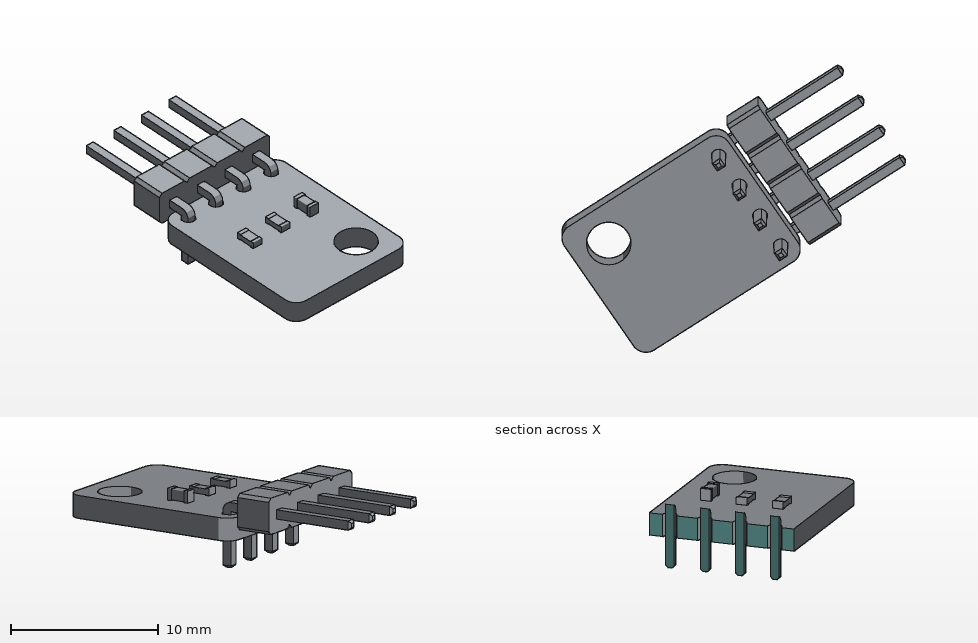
import cadquery as cq

board_length = 13.35
board_width = 10.5
board_thickness = 1.6
board_corner_radius = 1.0
mounting_hole_diameter = 3.0
mounting_hole_x = 10.73
mounting_hole_y = 2.75
pin_hole_diameter = 1.0
pin_row_x = 1.11

pin_count = 4
pin_pitch = 2.54
pin_size = 0.65
pin_tip_taper = 0.18
header_size = pin_pitch
header_chamfer = 0.25
header_right_x = -0.4
header_center_z = 2.12
pin_tip_x = -8.93
pin_bottom_z = -2.15
pin_row_y = -0.04
pin_ys = [pin_row_y + (i - (pin_count - 1) / 2) * pin_pitch for i in range(pin_count)]

chip_length = 1.6
chip_width = 0.78
cap_length = 0.3
cap_step = 0.05
chip_edge_radius = 0.033
chip_column_x = 5.83
middle_chip_x = 5.81
chip_pitch = 2.6
chip_column_y = 0.05
capacitor_height = 0.85
resistor_height = 0.5


def make_board():
    """Rounded plate with a mounting hole and a row of pin holes."""
    plate = (
        cq.Workplane("XY")
        .box(board_length, board_width, board_thickness, centered=(False, True, False))
        .edges("|Z")
        .fillet(board_corner_radius)
    )
    mounting_hole = (
        cq.Workplane("XY")
        .center(mounting_hole_x, mounting_hole_y)
        .circle(mounting_hole_diameter / 2)
        .extrude(board_thickness)
    )
    pin_holes = (
        cq.Workplane("XY")
        .pushPoints([(pin_row_x, y) for y in pin_ys])
        .circle(pin_hole_diameter / 2)
        .extrude(board_thickness)
    )
    return plate.cut(mounting_hole).cut(pin_holes)


def make_pin(y):
    """Square pin: a horizontal leg, a rounded elbow and a vertical leg, tapered at both tips."""
    elbow_x = pin_row_x - pin_size / 2
    outer_x = pin_row_x + pin_size / 2
    elbow_z = header_center_z - pin_size / 2
    top_z = header_center_z + pin_size / 2
    pin = (
        cq.Workplane("XZ", origin=(0, y, 0))
        .moveTo(pin_tip_x, elbow_z)
        .lineTo(elbow_x, elbow_z)
        .lineTo(elbow_x, pin_bottom_z)
        .lineTo(outer_x, pin_bottom_z)
        .lineTo(outer_x, elbow_z)
        .radiusArc((elbow_x, top_z), -pin_size)
        .lineTo(pin_tip_x, top_z)
        .close()
        .extrude(pin_size / 2, both=True)
    )
    return pin.faces("<X or <Z").chamfer(pin_tip_taper)


def make_header():
    """One chamfered block per pin, joined side by side, with the pins moulded in."""
    header = None
    for y in pin_ys:
        block = (
            cq.Workplane("XY", origin=(header_right_x - header_size / 2, y, header_center_z))
            .box(header_size, pin_pitch, header_size)
            .edges("|X")
            .chamfer(header_chamfer)
        )
        unit = block.union(make_pin(y))
        header = unit if header is None else header.union(unit)
    return header


def make_chip(x, y, core, height, rounded_edges):
    """Chip with its core solid between two end caps that have small radii on their edges."""
    center_z = board_thickness + height / 2
    cap_offset = (chip_length - cap_length) / 2
    chip = core.translate((x, y, center_z))
    for cap_x in (x - cap_offset, x + cap_offset):
        cap = cq.Workplane("XY", origin=(cap_x, y, center_z)).box(cap_length, chip_width, height)
        chip = chip.union(cap.edges(rounded_edges).fillet(chip_edge_radius))
    return chip


def make_capacitor(x, y):
    """Chip whose core is set in from the caps on all four sides; edges along X are rounded."""
    core = cq.Workplane("XY").box(
        chip_length - 2 * cap_length, chip_width - 2 * cap_step, capacitor_height - 2 * cap_step
    )
    core = core.edges("|X").fillet(chip_edge_radius)
    return make_chip(x, y, core, capacitor_height, "|X")


def make_resistor(x, y):
    """Flat chip whose core is set in from the caps above and below; cap edges along Y are rounded."""
    core = cq.Workplane("XY").box(
        chip_length - 2 * cap_length, chip_width, resistor_height - 2 * cap_step
    )
    return make_chip(x, y, core, resistor_height, "|Y")


board = make_board()
header = make_header()
capacitor = make_capacitor(chip_column_x, chip_column_y + chip_pitch)
resistors = [
    make_resistor(middle_chip_x, chip_column_y),
    make_resistor(chip_column_x, chip_column_y - chip_pitch),
]

result = cq.Compound.makeCompound(
    [board.val(), header.val(), capacitor.val(), *[resistor.val() for resistor in resistors]]
)